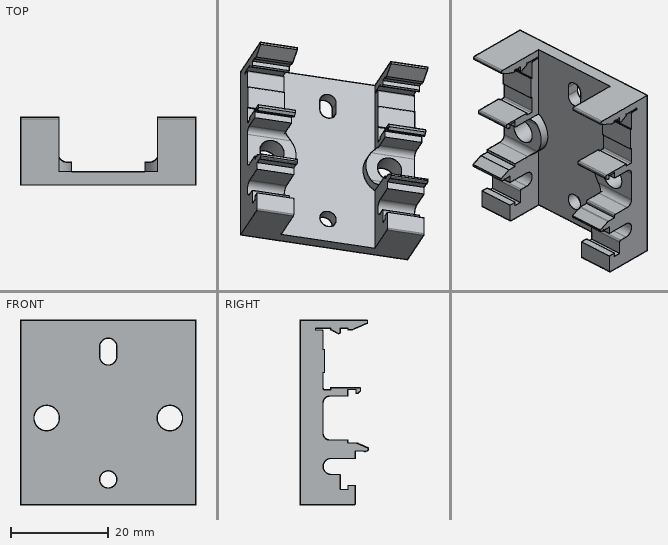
import cadquery as cq

width = 36.12
height = 38.1

channel_floor = 2.8
slit_depth = 3.2
plate_depth = 4.78
pad_depth = 5.08
step_depth = 6.33
ledge_depth = 8.34
shelf_depth = 9.88
base_depth = 11.43
shelf_tip = 12.5
top_arm_tip = 13.95
nose_tip = 14.11

edge_radius = 0.3

top_arm_underside = 36.4
slit_bottom = 36.08
top_tip_bottom = 37.48
top_ramp_end = (10.8, 36.1)
top_tooth_point = (7.96, 35.25)
top_tooth_front = 35.45
top_tooth_root = 36.1

pad_bottom = 27.28
pad_top = 32.07

shelf_top = 24.2
shelf_root_top = 23.75
shelf_lip_bottom = 23.0
shelf_tip_bottom = 23.5
shelf_hook_back = 11.5
shelf_hook_front = 11.95

pocket_top = 22.4
pocket_bottom = 13.41
pocket_fillet = 1.3

nose_flat_height = 12.79
nose_flat_front = 11.75
nose_tip_top = 11.75
nose_tip_bottom = 11.3
nose_underside = 11.1
nose_bead_bottom = 10.93
nose_bead_front = 13.4
nose_bead_back = 13.0
left_nose_drop = 0.1

groove_top = 9.55
groove_bottom = 6.3
groove_radius = (groove_top - groove_bottom) / 2

base_lip_top = 4.0
base_slot_bottom = 3.21

channel_width = 20.24
screw_spacing = 25.4
screw_height = (pocket_top + pocket_bottom) / 2
screw_diameter = 5.2
screw_ring_diameter = 10.3
pin_diameter = 3.5
pin_height = 5.25
slot_length = 5.5
slot_height = 31.6


def extrude_outline(points, rounded=()):
    """Extrude a closed (Y, Z) outline across the full width and round the given corners."""
    solid = cq.Workplane("YZ").polyline(points).close().extrude(width / 2, both=True)
    for y, z in rounded:
        corner_edge = solid.edges("|X").edges(cq.NearestToPointSelector((0, y, z)))
        solid = corner_edge.fillet(edge_radius)
    return solid


def box_between(y0, y1, z0, z1, x_size=width):
    """Box centred on X = 0 between two depths and two heights."""
    box = cq.Workplane("XY").box(x_size, y1 - y0, z1 - z0, centered=(True, False, False))
    return box.translate((0, y0, z0))


def back_plate():
    """Plate with its raised pad and the rounded edge under the slit."""
    slit_corner = (plate_depth, slit_bottom)
    outline = [
        (0, 0),
        (plate_depth, 0),
        slit_corner,
        (slit_depth, slit_bottom),
        (slit_depth, height),
        (0, height),
    ]
    plate = extrude_outline(outline, [slit_corner])
    return plate.union(box_between(0, pad_depth, pad_bottom, pad_top))


def top_arm():
    """Arm along the top edge, with a ramped tip and a retaining tooth below."""
    tip_corner = (top_arm_tip, height)
    outline = [
        (0, height),
        tip_corner,
        (top_arm_tip, top_tip_bottom),
        top_ramp_end,
        (shelf_depth, top_ramp_end[1]),
        (shelf_depth, top_arm_underside),
        (ledge_depth, top_arm_underside),
        (ledge_depth, top_tooth_front),
        top_tooth_point,
        (step_depth, top_tooth_root),
        (step_depth, top_arm_underside),
        (0, top_arm_underside),
    ]
    return extrude_outline(outline, [tip_corner])


def shelf():
    """Shelf above the screw pocket, ending in a thin lip with a small hook."""
    root_corner = (plate_depth, shelf_root_top)
    tip_corner = (shelf_tip, shelf_top)
    root_height = shelf_root_top + 2 * edge_radius
    outline = [
        (0, root_height),
        (plate_depth, root_height),
        root_corner,
        (step_depth, shelf_root_top),
        (step_depth, shelf_top),
        tip_corner,
        (shelf_tip, shelf_tip_bottom),
        (shelf_hook_front, shelf_lip_bottom),
        (shelf_hook_back, shelf_lip_bottom),
        (shelf_hook_back, shelf_root_top),
        (shelf_depth, shelf_root_top),
        (shelf_depth, pocket_top),
        (0, pocket_top),
    ]
    return extrude_outline(outline, [root_corner, tip_corner])


def nose_arm(drop):
    """Thick arm below the screw pocket; a drop lowers the top of its nose and rounds its corners."""
    flat_height = nose_flat_height - drop
    ramp_corner = (nose_flat_front, flat_height)
    step_corner = (shelf_depth, pocket_bottom)
    outline = [
        (0, pocket_bottom),
        step_corner,
        (shelf_depth, flat_height),
        ramp_corner,
        (nose_tip, nose_tip_top - drop),
        (nose_tip, nose_tip_bottom),
        (nose_tip - edge_radius, nose_underside),
        (nose_bead_front, nose_bead_bottom),
        (nose_bead_back, nose_underside),
        (base_depth, nose_underside),
        (base_depth, groove_top),
        (0, groove_top),
    ]
    return extrude_outline(outline, [ramp_corner, step_corner] if drop else [])


def nose_arms():
    """Nose arm on both sides; the one on the -X side has a slightly lower top."""
    left_side = box_between(0, nose_tip, 0, height, width / 2).translate((-width / 4, 0, 0))
    low_arm = nose_arm(left_nose_drop).intersect(left_side)
    return nose_arm(0).cut(left_side).union(low_arm)


def base():
    """Bottom block with a ledge and a slotted front lip."""
    bottom_corner = (base_depth, 0)
    ledge_corner = (ledge_depth, groove_bottom)
    outline = [
        (0, 0),
        bottom_corner,
        (base_depth, base_lip_top),
        (shelf_depth, base_lip_top),
        (shelf_depth, base_slot_bottom),
        (ledge_depth, base_slot_bottom),
        ledge_corner,
        (0, groove_bottom),
    ]
    return extrude_outline(outline, [bottom_corner, ledge_corner])


def root_fillet(z_low, z_high, radius):
    """Material that rounds both inner corners of a recess in front of the plate."""
    centre_y = plate_depth + radius
    filler = box_between(0, centre_y, z_low, z_high)
    recess = box_between(plate_depth, centre_y + radius, z_low, z_high)
    return filler.cut(recess.edges("|X and <Y").fillet(radius))


def groove_end():
    """Material that makes the inner end of the groove a half circle."""
    centre_y = plate_depth + groove_radius
    filler = box_between(0, centre_y, groove_bottom, groove_top)
    bore = (
        cq.Workplane("YZ")
        .center(centre_y, groove_bottom + groove_radius)
        .circle(groove_radius)
        .extrude(width / 2, both=True)
    )
    return filler.cut(bore)


def along_y(sketch, depth):
    """Extrude an XZ sketch from the back face toward +Y."""
    return sketch.extrude(-depth)


def screw_centres():
    return (
        cq.Workplane("XZ")
        .center(0, screw_height)
        .pushPoints([(-screw_spacing / 2, 0), (screw_spacing / 2, 0)])
    )


def channel():
    """Full-height channel that leaves a ring of material around each screw hole."""
    cut = box_between(channel_floor, nose_tip, 0, height, channel_width)
    return cut.cut(along_y(screw_centres().circle(screw_ring_diameter / 2), nose_tip))


def holes():
    """Two screw holes, a round pin hole and an upright slot, all through."""
    screws = along_y(screw_centres().circle(screw_diameter / 2), nose_tip)
    pin = along_y(cq.Workplane("XZ").center(0, pin_height).circle(pin_diameter / 2), nose_tip)
    slot_sketch = cq.Workplane("XZ").center(0, slot_height).slot2D(slot_length, pin_diameter, 90)
    return screws.union(pin).union(along_y(slot_sketch, nose_tip))


body = back_plate()
for feature in (top_arm(), shelf(), nose_arms(), base(), groove_end()):
    body = body.union(feature)
body = body.union(root_fillet(pocket_bottom, pocket_top, pocket_fillet))

result = body.cut(channel()).cut(holes())